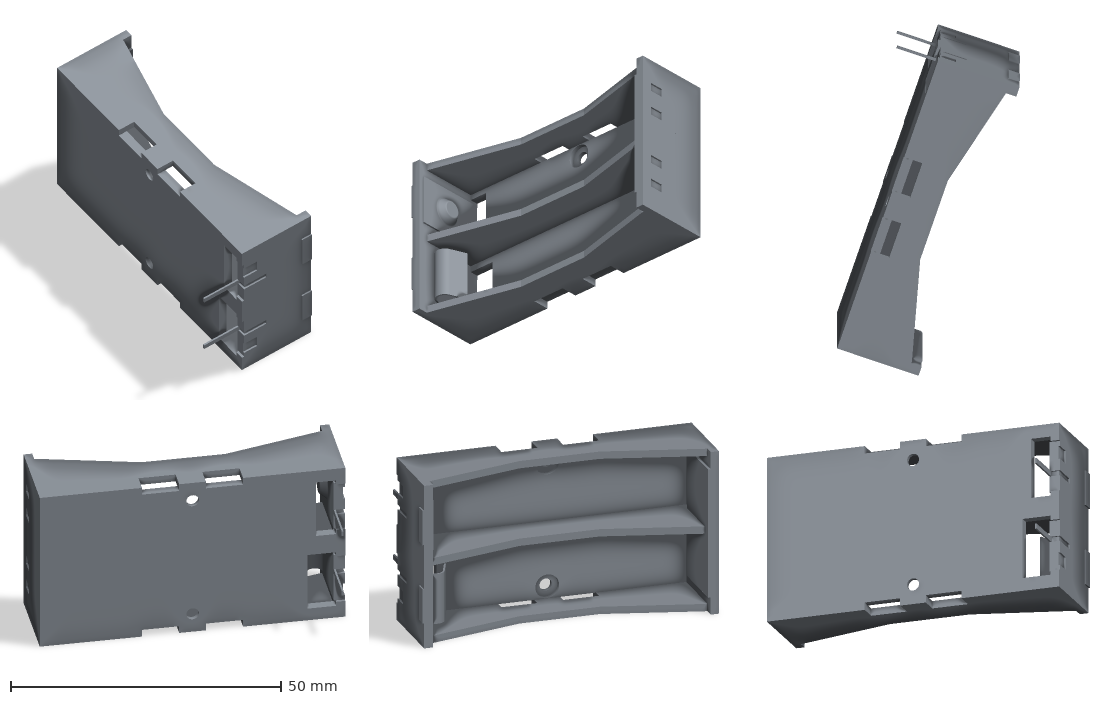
import cadquery as cq
import math


LENGTH = 57.5
HEIGHT = 15.9
WIDTH = 32.05
FLOOR = 1.8
SIDE_WALL = 1.45
DIVIDER = 1.45
BRIDGE_WALL = 1.6
TERMINAL_WALL = 1.75
SHOULDER_DROP = 2.0
SADDLE_DROP = 6.8
SADDLE_LENGTH = 15.7
MOUNT_HOLE = 2.35
MOUNT_PITCH = 24.4
MOUNT_LAND = 0.85
HEAD_SEAT = 4.6
SIDE_SLOT_LENGTH = 7.0
SIDE_SLOT_HEIGHT = 3.5
SIDE_SLOT_PITCH = 12.0
FLOOR_WINDOW_WIDTH = 11.55
BUTTON_WINDOW_LENGTH = 3.8
SPRING_WINDOW_LENGTH = 5.45

CELL_PITCH = 15.5

SHEET = 0.35
CONTACT_WIDTH = 9.8
PAD_DEPTH = 12.1
BRIDGE_PLATE = 0.5
PAD_WINDOW_HEIGHT = 3.0
PAD_WINDOW_WIDTH = 1.7
PAD_WINDOW_DROP = 3.75
PAD_WINDOW_OFFSET = 2.55
FLANGE_RECESS = 0.5
PLATE_DROP = 0.9
CATCH_WIDTH = 6.75
CATCH_HEIGHT = 2.2
CATCH_DEPTH = 0.3
LEG_WINDOW_WIDTH = 2.5
LEG_WINDOW_HEIGHT = 3.0
LEG_WINDOW_OFFSET = 2.65
PIN_WIDTH = 1.0
PIN_LENGTH = 7.35
PIN_OFFSET = 1.35
BUTTON_HEIGHT = 1.4
BUTTON_BASE_RADIUS = 2.8
BUTTON_TIP_RADIUS = 1.7
BUTTON_ROUND = 0.35
SPRING_RADIUS = 1.55
SPRING_TILT = 22.0
SPRING_LEG = 3.7
SPRING_AXIS_Y = 11.0

WALL_INSIDE_X = LENGTH - TERMINAL_WALL
PLATE_X = WALL_INSIDE_X - SHEET
LEG_X = LENGTH - SHEET
FLANGE_TOP = FLANGE_RECESS + SHEET
BUTTON_CELL_Z = (WIDTH + CELL_PITCH) / 2
SPRING_CELL_Z = (WIDTH - CELL_PITCH) / 2
CELLS = (SPRING_CELL_Z, BUTTON_CELL_Z)
PAD_RADIUS = CONTACT_WIDTH / 2
PAD_AXIS_Y = HEIGHT - PAD_DEPTH + PAD_RADIUS


def block(x0, x1, y0, y1, z_mid, z_size):
    """Box between two X and two Y places, centred on z_mid."""
    return cq.Workplane("XY").box(x1 - x0, y1 - y0, z_size).translate(((x0 + x1) / 2, (y0 + y1) / 2, z_mid))



def bridge_blank():
    """Inner plate across both cells, folded over the wall top into a round-ended pad per cell."""
    blank = block(BRIDGE_WALL, BRIDGE_WALL + BRIDGE_PLATE, HEIGHT - PAD_DEPTH, HEIGHT,
                  WIDTH / 2, CELL_PITCH + CONTACT_WIDTH)
    for cell_z in CELLS:
        fold = block(0, BRIDGE_WALL, HEIGHT - SHEET, HEIGHT, cell_z, CONTACT_WIDTH)
        pad = block(0, SHEET, PAD_AXIS_Y, HEIGHT, cell_z, CONTACT_WIDTH)
        round_end = (cq.Workplane("YZ").center(PAD_AXIS_Y, cell_z)
                     .circle(PAD_RADIUS).extrude(SHEET))
        blank = blank.union(fold).union(pad).union(round_end)
    return blank


def make_bridge():
    bridge = bridge_blank()
    window_y = HEIGHT - PAD_WINDOW_DROP
    for cell_z in CELLS:
        for side in (-1, 1):
            bridge = bridge.cut(block(
                0, SHEET, window_y - PAD_WINDOW_HEIGHT / 2, window_y + PAD_WINDOW_HEIGHT / 2,
                cell_z + side * PAD_WINDOW_OFFSET, PAD_WINDOW_WIDTH))
    return bridge



def side_profile():
    """Outline of the holder along X: full-height ends and a saddle between them."""
    shoulder_y = HEIGHT - SHOULDER_DROP
    saddle_y = HEIGHT - SADDLE_DROP
    bridge_end_x = BRIDGE_WALL + BRIDGE_PLATE
    saddle_x0 = (LENGTH - SADDLE_LENGTH) / 2
    saddle_x1 = saddle_x0 + SADDLE_LENGTH
    return (cq.Workplane("XY")
            .moveTo(0, 0)
            .lineTo(LENGTH, 0)
            .lineTo(LENGTH, HEIGHT)
            .lineTo(WALL_INSIDE_X, HEIGHT)
            .lineTo(WALL_INSIDE_X, shoulder_y)
            .lineTo(saddle_x1, saddle_y)
            .lineTo(saddle_x0, saddle_y)
            .lineTo(bridge_end_x, shoulder_y)
            .lineTo(BRIDGE_WALL, shoulder_y)
            .lineTo(BRIDGE_WALL, HEIGHT)
            .lineTo(0, HEIGHT)
            .close())


def make_housing():
    housing = side_profile().extrude(WIDTH)

    trough_width = (WIDTH - DIVIDER) / 2 - SIDE_WALL
    for trough_z in (SIDE_WALL + trough_width / 2, WIDTH - SIDE_WALL - trough_width / 2):
        housing = housing.cut(block(BRIDGE_WALL, WALL_INSIDE_X, FLOOR, HEIGHT, trough_z, trough_width))

    for side in (-1, 1):
        hole_z = WIDTH / 2 + side * MOUNT_PITCH / 2
        hole = cq.Workplane("XZ").center(LENGTH / 2, hole_z).circle(MOUNT_HOLE / 2).extrude(-FLOOR)
        head_seat = (cq.Workplane("XZ", origin=(0, MOUNT_LAND, 0)).center(LENGTH / 2, hole_z)
                     .circle(HEAD_SEAT / 2).extrude(MOUNT_LAND - FLOOR))
        housing = housing.cut(hole).cut(head_seat)

    for end in (-1, 1):
        slot_x = LENGTH / 2 + end * SIDE_SLOT_PITCH / 2
        for wall_z in (SIDE_WALL / 2, WIDTH - SIDE_WALL / 2):
            housing = housing.cut(block(
                slot_x - SIDE_SLOT_LENGTH / 2, slot_x + SIDE_SLOT_LENGTH / 2,
                0, SIDE_SLOT_HEIGHT, wall_z, SIDE_WALL))

    for cell_z, window_length in ((BUTTON_CELL_Z, BUTTON_WINDOW_LENGTH),
                                  (SPRING_CELL_Z, SPRING_WINDOW_LENGTH)):
        housing = housing.cut(block(WALL_INSIDE_X - window_length, WALL_INSIDE_X, 0, FLOOR,
                                    cell_z, FLOOR_WINDOW_WIDTH))

    for cell_z in CELLS:
        notch = block(WALL_INSIDE_X, LENGTH, 0, FLANGE_TOP, cell_z, CONTACT_WIDTH)
        recess = block(LEG_X, LENGTH, 0, HEIGHT, cell_z, CONTACT_WIDTH)
        housing = housing.cut(notch).cut(recess)

    return housing.cut(bridge_blank())



def terminal_base(cell_z, inward, plate_top):
    """Sheet wrapped under the end wall, with its pin; inward is the Z direction to mid width."""
    plate = block(PLATE_X, WALL_INSIDE_X, FLANGE_RECESS, plate_top, cell_z, CONTACT_WIDTH)
    flange = block(PLATE_X, LENGTH, FLANGE_RECESS, FLANGE_TOP, cell_z, CONTACT_WIDTH)
    leg = block(LEG_X, LENGTH, FLANGE_RECESS, HEIGHT, cell_z, CONTACT_WIDTH)
    catch = block(LENGTH, LENGTH + CATCH_DEPTH, HEIGHT - CATCH_HEIGHT, HEIGHT, cell_z, CATCH_WIDTH)
    sheet = plate.union(flange).union(leg).union(catch)

    pin_z = cell_z + inward * PIN_OFFSET
    pin = block(PLATE_X, WALL_INSIDE_X, -PIN_LENGTH, FLANGE_TOP, pin_z, PIN_WIDTH)
    pin_slot = block(WALL_INSIDE_X, LENGTH, FLANGE_RECESS, PIN_LENGTH - TERMINAL_WALL, pin_z, PIN_WIDTH)
    leg_window = block(LEG_X, LENGTH, FLANGE_RECESS, FLANGE_RECESS + LEG_WINDOW_HEIGHT,
                       cell_z - inward * LEG_WINDOW_OFFSET, LEG_WINDOW_WIDTH)
    return sheet.cut(pin_slot).cut(leg_window).union(pin)


def make_button_terminal():
    button = (cq.Workplane("XY")
              .moveTo(PLATE_X, 0)
              .lineTo(PLATE_X, BUTTON_BASE_RADIUS)
              .lineTo(PLATE_X - BUTTON_HEIGHT, BUTTON_TIP_RADIUS)
              .lineTo(PLATE_X - BUTTON_HEIGHT, 0)
              .close()
              .revolve(360, (0, 0, 0), (1, 0, 0))
              .faces("<X").edges().fillet(BUTTON_ROUND)
              .translate((0, PAD_AXIS_Y, BUTTON_CELL_Z)))
    terminal = terminal_base(BUTTON_CELL_Z, -1, HEIGHT - PLATE_DROP).union(button)
    foot = cq.selectors.RadiusNthSelector(-1)
    return terminal.edges("%CIRCLE").edges(foot).fillet(BUTTON_ROUND)


def make_spring_terminal():
    """The plate arches over at its top into a free leg that slopes down towards the cell."""
    axis_x = PLATE_X - SPRING_RADIUS
    outer_radius = SPRING_RADIUS + SHEET
    tilt = math.radians(SPRING_TILT)
    leg_run = SPRING_LEG * math.sin(tilt)
    leg_fall = SPRING_LEG * math.cos(tilt)

    def on_arch(radius, angle):
        return axis_x + radius * math.cos(angle), SPRING_AXIS_Y + radius * math.sin(angle)

    def leg_end(radius):
        x, y = on_arch(radius, math.pi - tilt)
        return x - leg_run, y - leg_fall

    spring = (cq.Workplane("XY")
              .moveTo(*on_arch(SPRING_RADIUS, 0))
              .threePointArc(on_arch(SPRING_RADIUS, math.pi / 2), on_arch(SPRING_RADIUS, math.pi - tilt))
              .lineTo(*leg_end(SPRING_RADIUS))
              .lineTo(*leg_end(outer_radius))
              .lineTo(*on_arch(outer_radius, math.pi - tilt))
              .threePointArc(on_arch(outer_radius, math.pi / 2), on_arch(outer_radius, 0))
              .close()
              .extrude(CONTACT_WIDTH)
              .translate((0, 0, SPRING_CELL_Z - CONTACT_WIDTH / 2)))
    return terminal_base(SPRING_CELL_Z, 1, SPRING_AXIS_Y).union(spring)


housing = make_housing()
bridge = make_bridge()
button_terminal = make_button_terminal()
spring_terminal = make_spring_terminal()

result = cq.Compound.makeCompound([
    housing.solids().val(),
    bridge.solids().val(),
    button_terminal.solids().val(),
    spring_terminal.solids().val(),
])